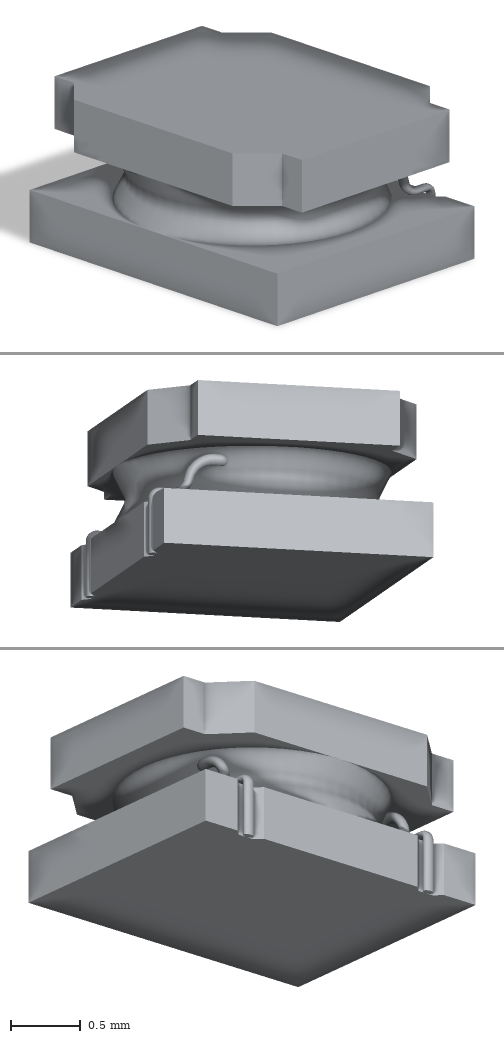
import cadquery as cq
import math

LENGTH = 2.5
WIDTH = 2.0
HEIGHT = 1.2
FLANGE_HEIGHT = 0.4
POST_DIAMETER = 1.0

CORNER_STEP_X = 0.2
CORNER_STEP_Y = 0.25

TERMINAL_THICKNESS = 0.01
TERMINAL_GAP = 0.8

LEAD_X = 0.832
TAIL_THICKNESS = 0.055
LEAD_DIAMETER = 0.085
LEAD_BEND_RADIUS = 0.05
TAIL_FLAT_LENGTH = 0.1
TAIL_FLAT_Z = 0.458
S_LOWER_RADIUS = 0.12
S_UPPER_RADIUS = 0.2
S_RISE = 0.255
LEAD_FLAT_LENGTH = 0.03

NOTCH_DEPTH = TAIL_THICKNESS
NOTCH_SIDE_CLEARANCE = 0.025
NOTCH_FLOOR_WIDTH = LEAD_DIAMETER + 2 * NOTCH_SIDE_CLEARANCE

COIL_DIAMETER = 1.6
RESIN_DIAMETER = WIDTH
GROOVE_DEPTH = 0.1
GROOVE_ROUND = 0.1

BASE_TOP = FLANGE_HEIGHT
TOP_FLANGE_BOTTOM = HEIGHT - FLANGE_HEIGHT
GAP_HEIGHT = TOP_FLANGE_BOTTOM - BASE_TOP
SIDES = (-1, 1)


def disc(diameter):
    """A cylinder that fills the height between the two flanges."""
    return cq.Workplane("XY").workplane(offset=BASE_TOP).circle(diameter / 2).extrude(GAP_HEIGHT)


def lead_notches():
    """Two flared notches in the +Y edge, as tall as the base."""
    floor_y = WIDTH / 2 - NOTCH_DEPTH
    half_floor = NOTCH_FLOOR_WIDTH / 2
    half_mouth = half_floor + NOTCH_DEPTH
    notches = cq.Workplane("XY")
    for side in SIDES:
        center = side * LEAD_X
        outline = [
            (center - half_mouth, WIDTH / 2),
            (center - half_floor, floor_y),
            (center + half_floor, floor_y),
            (center + half_mouth, WIDTH / 2),
        ]
        notches = notches.add(cq.Workplane("XY").polyline(outline).close().extrude(BASE_TOP))
    return notches.combine()


def make_core(notches, terminals):
    """Drum core: notched base with terminal recesses, round post and top flange with cut corners."""
    base = cq.Workplane("XY").rect(LENGTH, WIDTH).extrude(FLANGE_HEIGHT).cut(notches)
    for terminal in terminals:
        base = base.cut(terminal)
    top = (
        cq.Workplane("XY").workplane(offset=TOP_FLANGE_BOTTOM).rect(LENGTH, WIDTH).extrude(FLANGE_HEIGHT)
    )
    for side_x in SIDES:
        for side_y in SIDES:
            corner_x = side_x * LENGTH / 2
            corner_y = side_y * WIDTH / 2
            step_x = corner_x - side_x * CORNER_STEP_X
            step_y = corner_y - side_y * CORNER_STEP_Y
            cut_end_x = step_x - side_x * CORNER_STEP_Y
            corner = (
                cq.Workplane("XY")
                .workplane(offset=TOP_FLANGE_BOTTOM)
                .polyline([(corner_x, corner_y), (corner_x, step_y), (step_x, step_y), (cut_end_x, corner_y)])
                .close()
                .extrude(FLANGE_HEIGHT)
            )
            top = top.cut(corner)
    return base.union(disc(POST_DIAMETER)).union(top)


def make_terminal(side, notches):
    """Thin plate set into the underside of one end of the base, with the same notch as the base."""
    terminal_length = (LENGTH - TERMINAL_GAP) / 2
    center_x = side * (LENGTH - terminal_length) / 2
    return (
        cq.Workplane("XY")
        .center(center_x, 0)
        .rect(terminal_length, WIDTH)
        .extrude(TERMINAL_THICKNESS)
        .cut(notches)
    )


def s_bend(start, end, turn_angle):
    """Two tangent arcs that lift the lead from the tail level to the coil level."""
    half_angle = turn_angle / 2
    inflection = start + cq.Vector(
        0, -S_LOWER_RADIUS * math.sin(turn_angle), S_LOWER_RADIUS * (1 - math.cos(turn_angle))
    )
    lower_middle = start + cq.Vector(
        0, -S_LOWER_RADIUS * math.sin(half_angle), S_LOWER_RADIUS * (1 - math.cos(half_angle))
    )
    upper_middle = end + cq.Vector(
        0, S_UPPER_RADIUS * math.sin(half_angle), -S_UPPER_RADIUS * (1 - math.cos(half_angle))
    )
    lower_arc = cq.Edge.makeThreePointArc(start, lower_middle, inflection)
    upper_arc = cq.Edge.makeThreePointArc(inflection, upper_middle, end)
    path = cq.Workplane(cq.Wire.assembleEdges([lower_arc, upper_arc]))
    tail_plane = cq.Plane(origin=start.toTuple(), xDir=(1, 0, 0), normal=(0, -1, 0))
    travel = start.y - end.y
    return (
        cq.Workplane(tail_plane)
        .ellipse(LEAD_DIAMETER / 2, TAIL_THICKNESS / 2)
        .workplane(offset=travel)
        .center(0, end.z - start.z)
        .ellipse(LEAD_DIAMETER / 2, LEAD_DIAMETER / 2)
        .sweep(path, multisection=True)
    )


def make_lead():
    """Lead at the -X end: tail in the notch, flat run, S-bend, then a turn into the coil."""
    bend = LEAD_BEND_RADIUS
    tail_y = (WIDTH - TAIL_THICKNESS) / 2
    flat_start_y = tail_y - bend
    flat_end_y = flat_start_y - TAIL_FLAT_LENGTH
    coil_z = TAIL_FLAT_Z + S_RISE
    turn_angle = math.acos(1 - S_RISE / (S_LOWER_RADIUS + S_UPPER_RADIUS))
    s_end_y = flat_end_y - (S_LOWER_RADIUS + S_UPPER_RADIUS) * math.sin(turn_angle)
    turn_y = s_end_y - LEAD_FLAT_LENGTH
    coil_entry_x = -POST_DIAMETER / 2

    tail_path = (
        cq.Workplane("YZ", origin=(-LEAD_X, 0, 0))
        .moveTo(tail_y, 0)
        .lineTo(tail_y, TAIL_FLAT_Z - bend)
        .radiusArc((flat_start_y, TAIL_FLAT_Z), -bend)
        .lineTo(flat_end_y, TAIL_FLAT_Z)
    )
    tail = (
        cq.Workplane("XY")
        .center(-LEAD_X, tail_y)
        .ellipse(LEAD_DIAMETER / 2, TAIL_THICKNESS / 2)
        .sweep(tail_path)
    )

    riser = s_bend(
        cq.Vector(-LEAD_X, flat_end_y, TAIL_FLAT_Z), cq.Vector(-LEAD_X, s_end_y, coil_z), turn_angle
    )

    entry_path = (
        cq.Workplane("XY", origin=(0, 0, coil_z))
        .moveTo(-LEAD_X, s_end_y)
        .lineTo(-LEAD_X, turn_y)
        .radiusArc((-LEAD_X + bend, turn_y - bend), -bend)
        .lineTo(coil_entry_x, turn_y - bend)
    )
    entry = (
        cq.Workplane("XZ", origin=(-LEAD_X, s_end_y, coil_z)).circle(LEAD_DIAMETER / 2).sweep(entry_path)
    )
    return tail.union(riser).union(entry)


def make_coil():
    """Ring of turns around the post, with a mirrored lead at each end."""
    lead = make_lead()
    return disc(COIL_DIAMETER).union(lead).union(lead.mirror("YZ")).cut(disc(POST_DIAMETER))


def make_resin(coil):
    """Ring around the coil with a rounded V groove turned in its outside."""
    radius = RESIN_DIAMETER / 2
    slope = math.atan2(GROOVE_DEPTH, GAP_HEIGHT / 2)
    middle_z = BASE_TOP + GAP_HEIGHT / 2
    apex_radius = radius - GROOVE_DEPTH
    round_half_height = GROOVE_ROUND * math.sin(slope)
    round_end_radius = apex_radius + round_half_height * math.tan(slope)
    round_floor_radius = apex_radius + GROOVE_ROUND / math.cos(slope) - GROOVE_ROUND
    ring = (
        cq.Workplane("XZ")
        .moveTo(0, BASE_TOP)
        .lineTo(radius, BASE_TOP)
        .lineTo(round_end_radius, middle_z - round_half_height)
        .threePointArc((round_floor_radius, middle_z), (round_end_radius, middle_z + round_half_height))
        .lineTo(radius, TOP_FLANGE_BOTTOM)
        .lineTo(0, TOP_FLANGE_BOTTOM)
        .close()
        .revolve(360, (0, 0, 0), (0, 1, 0))
    )
    return ring.cut(disc(POST_DIAMETER)).cut(coil)


notches = lead_notches()
terminals = [make_terminal(side, notches) for side in SIDES]
core = make_core(notches, terminals)
coil = make_coil()
resin = make_resin(coil)

result = cq.Compound.makeCompound(
    [core.val(), coil.val(), resin.val(), *[terminal.val() for terminal in terminals]]
)